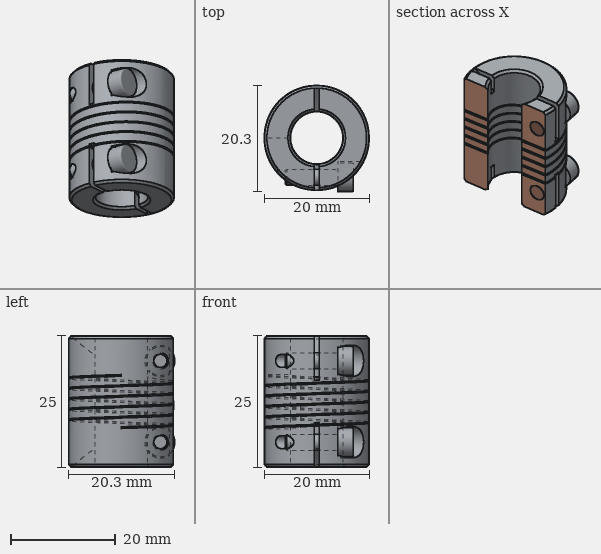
import cadquery as cq
import math

body_radius = 10.0
body_length = 25.0
bore_radius = 5.0
edge_chamfer = 0.5

helix_pitch = 2.0
helix_turns = 5
helix_width = 0.3
helix_overcut = 0.5
helix_height = helix_pitch * helix_turns

slot_width = 1.0
slot_depth = 8.5
saw_radius = 30.0
slot_end_y = body_radius - edge_chamfer

screw_y = -7.5
screw_end_distance = 4.75
screw_heights = [screw_end_distance, body_length - screw_end_distance]
head_radius = 2.75
head_length = 3.0
head_seat_x = 4.0
head_round = 0.3
shank_radius = 1.5
shank_length = 10.0
tip_chamfer = 0.25
head_pocket_radius = 3.0
tapped_hole_radius = shank_radius - tip_chamfer


def rod_along_x(start_x, length, radius, height):
    """A round bar on a clamp screw axis, running from start_x toward +X."""
    return (
        cq.Workplane("YZ", origin=(start_x, screw_y, height))
        .circle(radius)
        .extrude(length)
    )


def make_screw(height):
    tip_x = head_seat_x - shank_length
    shank = rod_along_x(tip_x, shank_length, shank_radius, height).faces("<X").chamfer(tip_chamfer)
    head = rod_along_x(head_seat_x, head_length, head_radius, height).faces(">X").edges().fillet(head_round)
    return shank.union(head)


def make_tube():
    return (
        cq.Workplane("XY")
        .circle(body_radius)
        .circle(bore_radius)
        .extrude(body_length)
        .faces("<Z or >Z")
        .chamfer(edge_chamfer)
    )


def make_helical_cut():
    """A thin rectangle, reaching from inside the bore to outside the body, swept up a helix."""
    inner_radius = bore_radius - helix_overcut
    outer_radius = body_radius + helix_overcut
    middle_radius = (inner_radius + outer_radius) / 2
    path = cq.Workplane(cq.Wire.makeHelix(helix_pitch, helix_height, middle_radius))
    cut = (
        cq.Workplane("XZ", origin=(middle_radius, 0, 0))
        .rect(outer_radius - inner_radius, helix_width)
        .sweep(path, isFrenet=True)
    )
    start_z = (body_length - helix_height) / 2
    return cut.rotate((0, 0, 0), (0, 0, 1), 180).translate((0, 0, start_z))


def make_top_slot():
    """The disc swept by the saw, placed so that its rim passes through the end of the slot floor."""
    saw_z = body_length - slot_depth + saw_radius
    saw_height_over_end = saw_z - body_length
    saw_y = slot_end_y - math.sqrt(saw_radius**2 - saw_height_over_end**2)
    return (
        cq.Workplane("YZ", origin=(-slot_width / 2, saw_y, saw_z))
        .circle(saw_radius)
        .extrude(slot_width)
    )


def make_body(screws):
    body = make_tube().cut(make_helical_cut())
    top_slot = make_top_slot()
    bottom_slot = top_slot.mirror("XY", (0, 0, body_length / 2))
    for slot in (top_slot, bottom_slot):
        body = body.cut(slot)
    for height, screw in zip(screw_heights, screws):
        head_pocket = rod_along_x(head_seat_x, body_radius, head_pocket_radius, height)
        tapped_hole = rod_along_x(-body_radius, body_radius, tapped_hole_radius, height)
        body = body.cut(head_pocket).cut(tapped_hole).cut(screw)
    return body


clamp_screws = [make_screw(height) for height in screw_heights]
coupling_body = make_body(clamp_screws)

result = cq.Compound.makeCompound([coupling_body.val(), *[screw.val() for screw in clamp_screws]])